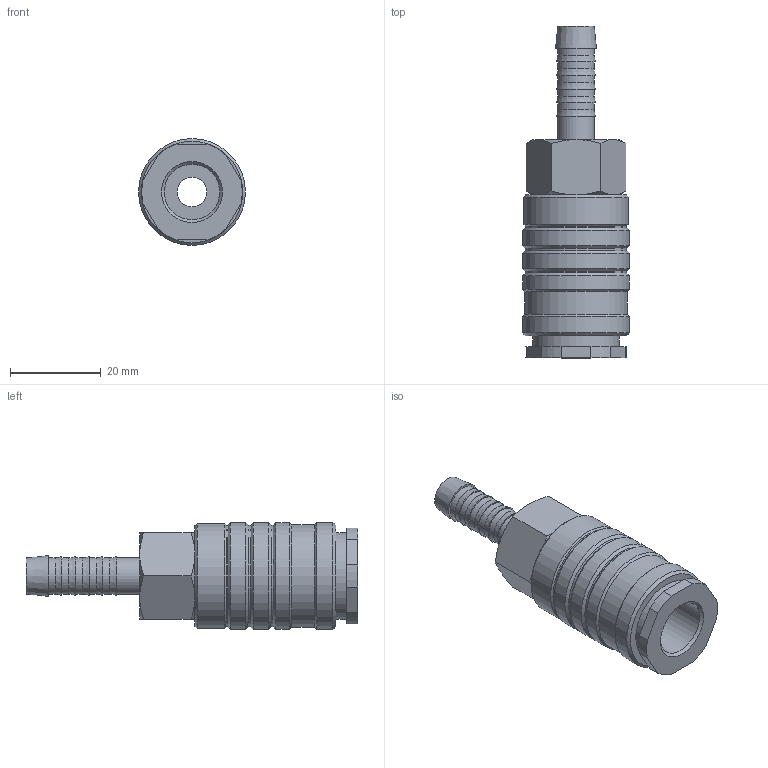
import cadquery as cq
import math

overall_length = 73.0

collar_length = 2.5
collar_diameter = 22.1
collar_across_flats = 21.1
neck_diameter = 19.0

sleeve_start = 4.9
sleeve_end = 35.85
core_diameter = 22.6
groove_diameter = 22.35
ring_diameter = 23.5
rear_band_diameter = 23.1
rear_chamfer = 0.5
grip_ring = (5.5, 9.1)
rear_rings = [(15.05, 18.1), (19.65, 23.0), (24.7, 28.05)]
rear_band = (29.35, sleeve_end - rear_chamfer)

hex_end = 48.0
hex_across_flats = 19.0
hex_chamfer_angle = 30.0

corners_per_flats = 1 / math.cos(math.radians(30))

tail_diameter = 8.0
ridge_diameter = 8.5
ridge_count = 5
ridge_pitch = 3.0
ridge_length = 1.5
first_ridge = 53.1
barb_start = 68.1
barb_diameter = 9.0

socket_diameter = 12.2
socket_mouth_diameter = 13.4
socket_depth = 25.0
through_diameter = 6.5


def hexagonal_prism(across_flats, start, end):
    """Hexagonal prism along Y with flats facing +Z and -Z."""
    across_corners = across_flats * corners_per_flats
    return cq.Workplane("XZ", origin=(0, start, 0)).polygon(6, across_corners).extrude(start - end)


def turned(profile):
    """Solid of revolution about Y from (radius, y) points; the profile is closed along the axis."""
    outline = [(0, profile[0][1])] + profile + [(0, profile[-1][1])]
    return cq.Workplane("XY").polyline(outline).close().revolve(360, (0, 0, 0), (0, 1, 0))


def cylinder(diameter, start, end):
    return turned([(diameter / 2, start), (diameter / 2, end)])


def raised_land(span, diameter, front_diameter, rear_diameter):
    """(radius, y) points of a land whose 45 degree shoulders drop to the neighbouring diameters."""
    start, end = span
    front_drop = (diameter - front_diameter) / 2
    rear_drop = (diameter - rear_diameter) / 2
    return [
        (front_diameter / 2, start - front_drop),
        (diameter / 2, start),
        (diameter / 2, end),
        (rear_diameter / 2, end + rear_drop),
    ]


def make_collar():
    disc = cylinder(collar_diameter, 0, collar_length)
    collar = disc.intersect(hexagonal_prism(collar_across_flats, 0, collar_length))
    neck = cylinder(neck_diameter, collar_length, sleeve_start)
    return collar.union(neck)


def make_sleeve():
    front_face_diameter = ring_diameter - 2 * (grip_ring[0] - sleeve_start)
    rear_face_diameter = rear_band_diameter - 2 * rear_chamfer
    profile = raised_land(grip_ring, ring_diameter, front_face_diameter, core_diameter)
    front_neighbour = core_diameter
    for span in rear_rings:
        profile += raised_land(span, ring_diameter, front_neighbour, groove_diameter)
        front_neighbour = groove_diameter
    profile += raised_land(rear_band, rear_band_diameter, groove_diameter, rear_face_diameter)
    return turned(profile)


def make_hexagon():
    face_radius = hex_across_flats / 2
    corner_radius = face_radius * corners_per_flats
    chamfer_length = (corner_radius - face_radius) * math.tan(math.radians(hex_chamfer_angle))
    chamfered_blank = turned([
        (face_radius, sleeve_end),
        (corner_radius, sleeve_end + chamfer_length),
        (corner_radius, hex_end - chamfer_length),
        (face_radius, hex_end),
    ])
    return hexagonal_prism(hex_across_flats, sleeve_end, hex_end).intersect(chamfered_blank)


def make_hose_tail():
    tail_radius = tail_diameter / 2
    profile = [(tail_radius, hex_end)]
    for index in range(ridge_count):
        ridge = first_ridge + index * ridge_pitch
        profile += [
            (tail_radius, ridge),
            (ridge_diameter / 2, ridge),
            (tail_radius, ridge + ridge_length),
        ]
    profile += [
        (tail_radius, barb_start),
        (barb_diameter / 2, barb_start),
        (tail_radius, overall_length),
    ]
    return turned(profile)


def make_bores():
    mouth_chamfer = (socket_mouth_diameter - socket_diameter) / 2
    return turned([
        (socket_mouth_diameter / 2, 0),
        (socket_diameter / 2, mouth_chamfer),
        (socket_diameter / 2, socket_depth),
        (through_diameter / 2, socket_depth),
        (through_diameter / 2, overall_length),
    ])


body = make_collar().union(make_sleeve()).union(make_hexagon()).union(make_hose_tail())
result = body.cut(make_bores())